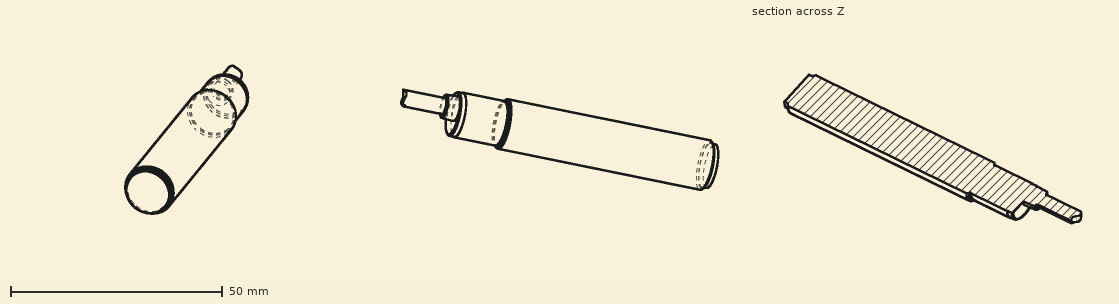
import cadquery as cq

total_length = 78.5

sleeve_diameter = 12.0
sleeve_front = 1.1
sleeve_rear = 52.7
sleeve_chamfer = 0.4

face_diameter = 10.6
housing_diameter = 10.8
housing_rear = 63.4
cap_diameter = 10.6
cap_rear = 64.9
cap_chamfer = 0.3
neck_diameter = 10.6
neck_length = 0.4

cable_offset = -2.3
cable_diameter = 3.9
relief_rear = 68.05
relief_base_diameter = 6.0
relief_tip_diameter = 5.65
relief_chamfer = 0.2

wave_height = 0.51


def cylinder(diameter, start, end, x=0.0):
    """Cylinder along +Y between two stations."""
    plane = cq.Plane(origin=(x, start, 0), xDir=(1, 0, 0), normal=(0, 1, 0))
    return cq.Workplane(plane).circle(diameter / 2).extrude(end - start)


def make_body():
    face = cylinder(face_diameter, 0, sleeve_front)
    sleeve = cylinder(sleeve_diameter, sleeve_front, sleeve_rear).edges().chamfer(sleeve_chamfer)
    neck_rear = sleeve_rear + neck_length
    neck = cylinder(neck_diameter, sleeve_rear, neck_rear)
    housing = cylinder(housing_diameter, neck_rear, housing_rear)
    cap = cylinder(cap_diameter, housing_rear, cap_rear).faces(">Y").edges().chamfer(cap_chamfer)
    return face.union(sleeve).union(neck).union(housing).union(cap)


def make_strain_relief():
    length = relief_rear - cap_rear
    plane = cq.Plane(origin=(cable_offset, cap_rear, 0), xDir=(1, 0, 0), normal=(0, 1, 0))
    cone = (
        cq.Workplane(plane)
        .circle(relief_base_diameter / 2)
        .workplane(offset=length)
        .circle(relief_tip_diameter / 2)
        .loft(ruled=True)
    )
    return cone.faces(">Y").edges().chamfer(relief_chamfer)


def make_cable():
    """Round cable trimmed by a crest on the -X half and a trough on the +X half."""
    radius = cable_diameter / 2
    left = cable_offset - radius
    right = cable_offset + radius
    wave_level = total_length - wave_height
    trim = (
        cq.Workplane("XY")
        .moveTo(left, relief_rear)
        .lineTo(left, wave_level)
        .threePointArc((cable_offset - radius / 2, total_length), (cable_offset, wave_level))
        .threePointArc((cable_offset + radius / 2, wave_level - wave_height), (right, wave_level))
        .lineTo(right, relief_rear)
        .close()
        .extrude(radius, both=True)
    )
    return cylinder(cable_diameter, relief_rear, total_length, cable_offset).intersect(trim)


result = make_body().union(make_strain_relief()).union(make_cable())